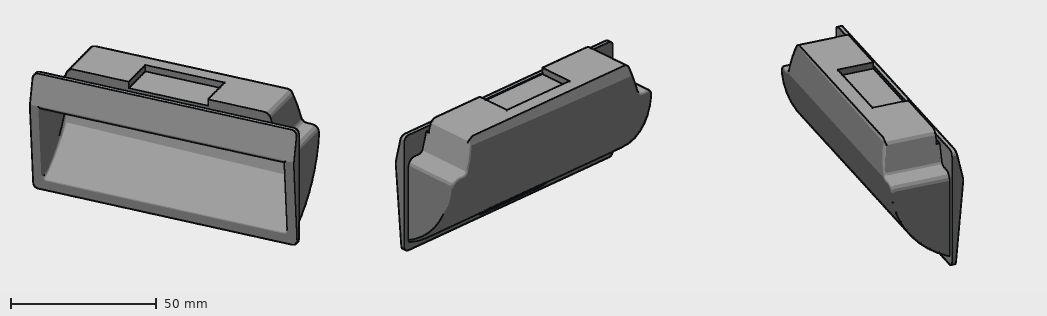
import cadquery as cq
import math

flange_width = 100.0
flange_height = 45.0
flange_bottom_thickness = 1.4
flange_top_thickness = 1.6
ridge_height = 33.3
ridge_depth = 4.3
ridge_radius = 5.0
flange_corner_radius = 2.0

body_height = 48.0
body_embed = 1.0
lower_half_width = 48.0
shoulder_height = 35.6
upper_half_width = 38.2
upper_side_tilt = 15.0
body_corner_radius = 3.0
shoulder_inner_radius = 2.0
back_edge_radius = 1.1

back_axis_y = -14.3
back_axis_z = 36.0
back_radius = 36.1

panel_gap = 1.2
gap_floor = 43.1

recess_width = 30.0
recess_depth = 2.5
recess_back = 14.6

back_wall = 2.0
cavity_half_width = 46.0
cavity_ceiling = 32.7
cavity_floor_radius = 1.0
opening_edge_radius = 1.0
rim_margin = 0.5

snap_width = recess_width
snap_bottom = 1.9
snap_tail_y = 3.8
snap_tail_z = 4.5
snap_root_z = 6.0

reach = 2 * body_height


def along_x(points, width):
    """Prism of a closed (y, z) outline, centred on x = 0."""
    return cq.Workplane("YZ").polyline(points).close().extrude(width / 2, both=True)


def block(half_width, y_min, y_max, z_min, z_max):
    """Box centred on x = 0."""
    return (
        cq.Workplane("XY")
        .box(2 * half_width, y_max - y_min, z_max - z_min, centered=(True, False, False))
        .translate((0, y_min, z_min))
    )


def back_cylinder(radius):
    """Solid cylinder along X, coaxial with the curved back."""
    return (
        cq.Workplane("YZ")
        .center(back_axis_y, back_axis_z)
        .circle(radius)
        .extrude(flange_width, both=True)
    )


def body_prism(top):
    """Stepped body cross-section with its shoulders rounded, extruded along Y up to a given top."""
    slope = math.tan(math.radians(upper_side_tilt))
    shoulder_half_width = upper_half_width + (body_height - shoulder_height) * slope
    top_half_width = upper_half_width + (body_height - top) * slope
    right_side = [
        (lower_half_width, 0),
        (lower_half_width, shoulder_height),
        (shoulder_half_width, shoulder_height),
        (top_half_width, top),
    ]
    left_side = [(-x, z) for x, z in reversed(right_side)]
    prism = (
        cq.Workplane("XZ", origin=(0, -body_embed, 0))
        .polyline(right_side + left_side)
        .close()
        .extrude(-reach)
    )
    y_middle = reach / 2
    for side in (-1, 1):
        for half_width, radius in (
            (lower_half_width, body_corner_radius),
            (shoulder_half_width, shoulder_inner_radius),
        ):
            corner = (side * half_width, y_middle, shoulder_height)
            prism = prism.edges("|Y").edges(cq.NearestToPointSelector(corner)).fillet(radius)
    return prism


def make_flange():
    """Wedge-fronted plate with a softened horizontal ridge."""
    flange = along_x(
        [
            (0, 0),
            (-flange_bottom_thickness, 0),
            (-ridge_depth, ridge_height),
            (-flange_top_thickness, flange_height),
            (0, flange_height),
        ],
        flange_width,
    )
    flange = flange.edges("|X and <Y").fillet(ridge_radius)
    return flange.edges("|Y").fillet(flange_corner_radius)


def make_body():
    """Round-backed body; the back edge rounding runs out through the top."""
    overlong_top = body_height + body_corner_radius
    back_y = back_axis_y + back_radius
    body = body_prism(overlong_top).intersect(back_cylinder(back_radius))
    for side in (-1, 1):
        seed = (side * lower_half_width, back_y, shoulder_height / 2)
        body = body.edges(cq.NearestToPointSelector(seed)).fillet(back_edge_radius)
    rounded = body_prism(body_height).faces(">Z").edges("|Y").fillet(body_corner_radius)
    body = body.intersect(rounded)
    gap = block(lower_half_width, -body_embed, panel_gap, gap_floor, body_height)
    recess = block(recess_width / 2, 0, recess_back, body_height - recess_depth, body_height)
    return body.cut(gap).cut(recess)


def make_snap():
    """Wedge under the curved back that holds the lower panel edge."""
    return along_x(
        [
            (panel_gap, snap_bottom),
            (snap_tail_y, snap_tail_z),
            (snap_tail_y, snap_root_z),
            (panel_gap, snap_root_z),
        ],
        snap_width,
    )


def make_cavity():
    """Room with a flat ceiling and a curved floor, rounded where the floor meets the side walls."""
    floor_radius = back_radius - back_wall
    floor_slant = floor_radius * math.sin(math.radians(45))
    room = block(cavity_half_width, -2 * ridge_depth, reach, 0, cavity_ceiling)
    cavity = room.intersect(back_cylinder(floor_radius))
    for side in (-1, 1):
        seed = (side * cavity_half_width, back_axis_y + floor_slant, back_axis_z - floor_slant)
        cavity = cavity.edges(cq.NearestToPointSelector(seed)).fillet(cavity_floor_radius)
    return cavity


def cavity_rim():
    """Selector for the front edges of the finger opening."""
    return cq.selectors.BoxSelector(
        (-lower_half_width, -2 * ridge_depth, rim_margin),
        (lower_half_width, -rim_margin, cavity_ceiling + rim_margin),
        boundingbox=True,
    )


shell = make_flange().union(make_body()).union(make_snap()).cut(make_cavity())
result = shell.edges(cavity_rim()).fillet(opening_edge_radius)